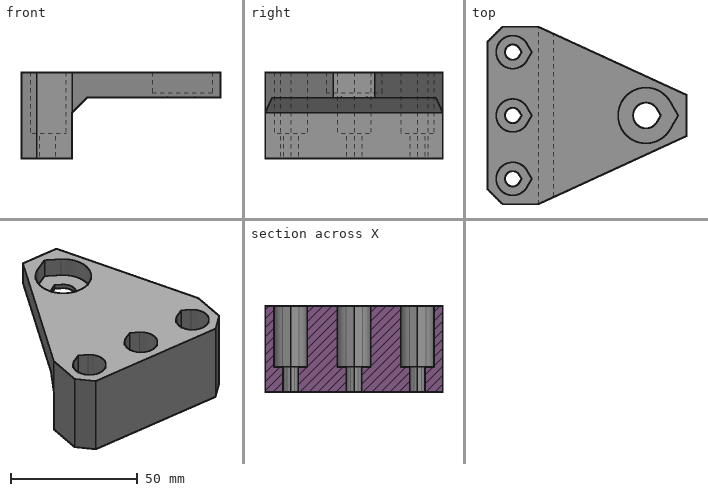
import cadquery as cq
import math

length = 78.5
width = 70.0
height = 34.0

block_depth = 20.0
plate_thickness = 10.0
corner_chamfer = 6.0
gusset_leg = 6.0
tip_width = 16.25

mount_x = 10.0
mount_spacing = 25.0
mount_hole_radius = 3.0
mount_bore_radius = 6.5
mount_floor = plate_thickness

tip_hole_x = 62.5
tip_hole_radius = 5.0
tip_bore_radius = 11.0
tip_bore_depth = 8.0

teardrop_angle = math.radians(30)


def make_body():
    """Side profile extruded across the width, trimmed to the tapered plan outline."""
    plate_bottom = height - plate_thickness
    profile = (
        cq.Workplane("XZ")
        .polyline([
            (0, 0),
            (block_depth, 0),
            (block_depth, plate_bottom - gusset_leg),
            (block_depth + gusset_leg, plate_bottom),
            (length, plate_bottom),
            (length, height),
            (0, height),
        ])
        .close()
        .extrude(width / 2, both=True)
    )
    half_outline = [
        (0, width / 2 - corner_chamfer),
        (corner_chamfer, width / 2),
        (block_depth, width / 2),
        (length, tip_width / 2),
    ]
    mirrored_half = [(x, -y) for x, y in reversed(half_outline)]
    plan = cq.Workplane("XY").polyline(half_outline + mirrored_half).close().extrude(height)
    return profile.intersect(plan)


def teardrop(x, y, radius, bottom, top):
    """Vertical teardrop prism whose point faces +X."""
    tangent_x = x + radius * math.cos(teardrop_angle)
    tangent_y = radius * math.sin(teardrop_angle)
    point_x = x + radius / math.cos(teardrop_angle)
    return (
        cq.Workplane("XY", origin=(0, 0, bottom))
        .moveTo(tangent_x, y - tangent_y)
        .lineTo(point_x, y)
        .lineTo(tangent_x, y + tangent_y)
        .threePointArc((x - radius, y), (tangent_x, y - tangent_y))
        .close()
        .extrude(top - bottom)
    )


def cut_counterbored_hole(body, x, y, hole_radius, bore_radius, bore_floor):
    """Cut a through hole with a wider bore above bore_floor."""
    hole = teardrop(x, y, hole_radius, 0, height)
    bore = teardrop(x, y, bore_radius, bore_floor, height)
    return body.cut(hole).cut(bore)


result = make_body()

for row in (-1, 0, 1):
    result = cut_counterbored_hole(
        result, mount_x, row * mount_spacing, mount_hole_radius, mount_bore_radius, mount_floor
    )

result = cut_counterbored_hole(
    result, tip_hole_x, 0, tip_hole_radius, tip_bore_radius, height - tip_bore_depth
)